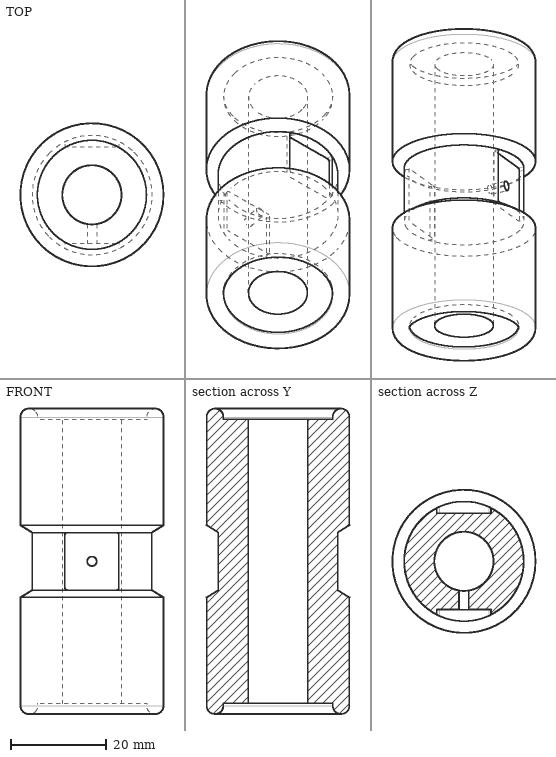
import cadquery as cq

length = 64.2
body_diameter = 30.1
bore_diameter = 12.4

recess_diameter = 22.9
recess_depth = 2.25

waist_diameter = 25.15
waist_height = 12.1
head_chamfer_height = 1.55

pocket_width = 11.35
pocket_floor_offset = 10.15
pocket_corner_radius = 0.5
pin_hole_diameter = 2.0

body_radius = body_diameter / 2
bore_radius = bore_diameter / 2
recess_radius = recess_diameter / 2
waist_radius = waist_diameter / 2
half_length = length / 2
half_waist = waist_height / 2
lip_radius = (body_radius - recess_radius) / 2
lip_center_radius = (body_radius + recess_radius) / 2


def upper_half():
    """Revolve one head with its half of the waist, above the mid-plane."""
    return (
        cq.Workplane("XZ")
        .moveTo(bore_radius, 0)
        .lineTo(waist_radius, 0)
        .lineTo(waist_radius, half_waist)
        .lineTo(body_radius, half_waist + head_chamfer_height)
        .lineTo(body_radius, half_length - lip_radius)
        .threePointArc((lip_center_radius, half_length), (recess_radius, half_length - lip_radius))
        .lineTo(recess_radius, half_length - recess_depth)
        .lineTo(bore_radius, half_length - recess_depth)
        .close()
        .revolve(360, (0, 0, 0), (0, 1, 0))
    )


def waist_pockets():
    """Rounded-corner cutters for the pockets on the -Y and +Y sides."""
    cutter_depth = waist_radius - pocket_floor_offset
    cutter = (
        cq.Workplane("XY")
        .box(pocket_width, cutter_depth, waist_height)
        .edges("|Y")
        .fillet(pocket_corner_radius)
        .translate((0, pocket_floor_offset + cutter_depth / 2, 0))
    )
    return cutter.union(cutter.mirror("XZ"))


def pin_hole():
    """Cross hole from the -Y pocket floor into the bore."""
    return cq.Workplane("XZ").circle(pin_hole_diameter / 2).extrude(body_radius)


head = upper_half()
result = head.union(head.mirror("XY")).cut(waist_pockets()).cut(pin_hole())